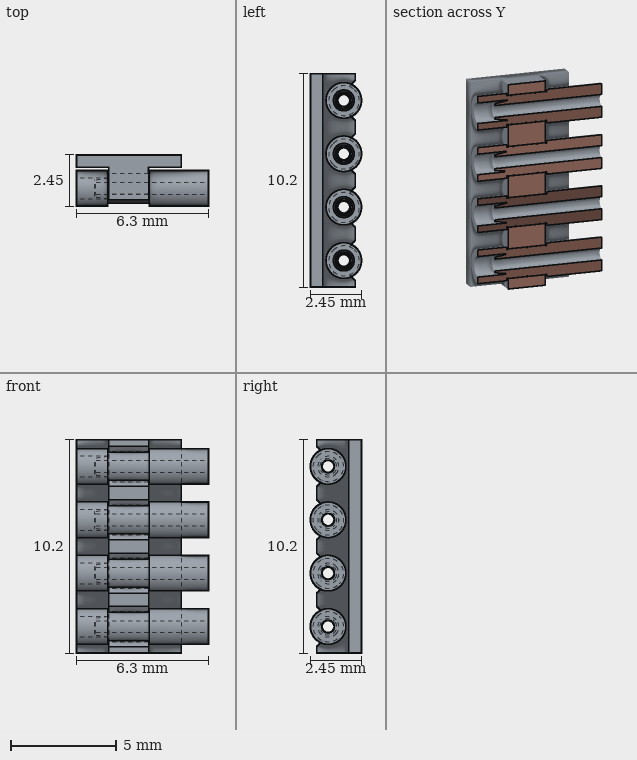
import cadquery as cq

carrier_height = 10.16
plate_width = 5.0
plate_thickness = 0.6
rail_start = 1.54
rail_width = 1.9
carrier_depth = 2.14

sleeve_count = 4
sleeve_pitch = carrier_height / sleeve_count
sleeve_length = 6.3
sleeve_diameter = 1.7
sleeve_radius = sleeve_diameter / 2
sleeve_depth = 1.6
neck_start = 1.49
neck_length = 1.99
neck_radius = 0.72

entry_radius = 0.5
nose_tip_radius = 0.4
funnel_end_radius = 0.31
through_radius = 0.28
entry_depth = neck_start
nose_length = 0.64
funnel_depth = 0.016
throat_depth = 0.046

mouth_half_width = 0.95

sleeve_y = -sleeve_depth
sleeve_heights = [(index + 0.5) * sleeve_pitch for index in range(sleeve_count)]


def snap_seat(height):
    """Round seat for one neck, with a mouth that flares towards the rail front."""
    front_y = -carrier_depth
    mouth_depth = carrier_depth - sleeve_depth
    throat_half_width = mouth_half_width - mouth_depth
    seat = (
        cq.Workplane("YZ", origin=(rail_start, sleeve_y, height))
        .circle(neck_radius)
        .extrude(rail_width)
    )
    mouth = (
        cq.Workplane("YZ", origin=(rail_start, 0, height))
        .moveTo(front_y, mouth_half_width)
        .lineTo(sleeve_y, throat_half_width)
        .lineTo(sleeve_y, -throat_half_width)
        .lineTo(front_y, -mouth_half_width)
        .close()
        .extrude(rail_width)
    )
    return seat.union(mouth)


def make_carrier():
    """Plate and rail with one snap seat for each sleeve."""
    plate = cq.Workplane("XY").box(plate_width, plate_thickness, carrier_height, centered=False)
    plate = plate.translate((0, -plate_thickness, 0))
    rail = cq.Workplane("XY").box(rail_width, carrier_depth, carrier_height, centered=False)
    rail = rail.translate((rail_start, -carrier_depth, 0))
    body = plate.union(rail)
    for height in sleeve_heights:
        body = body.cut(snap_seat(height))
    return body


def make_sleeve(height):
    """Tube with a narrow neck outside and a stepped bore inside, revolved about its axis."""
    neck_end = neck_start + neck_length
    nose_tip = entry_depth - nose_length
    funnel_end = nose_tip + funnel_depth
    throat_end = funnel_end + throat_depth
    return (
        cq.Workplane("XY", origin=(0, sleeve_y, height))
        .moveTo(0, entry_radius)
        .lineTo(0, sleeve_radius)
        .lineTo(neck_start, sleeve_radius)
        .lineTo(neck_start, neck_radius)
        .lineTo(neck_end, neck_radius)
        .lineTo(neck_end, sleeve_radius)
        .lineTo(sleeve_length, sleeve_radius)
        .lineTo(sleeve_length, through_radius)
        .lineTo(throat_end, through_radius)
        .lineTo(funnel_end, funnel_end_radius)
        .lineTo(nose_tip, nose_tip_radius)
        .lineTo(entry_depth, entry_radius)
        .close()
        .revolve(360, (0, 0, 0), (1, 0, 0))
    )


carrier = make_carrier()
sleeves = [make_sleeve(height).val() for height in sleeve_heights]

result = cq.Compound.makeCompound([carrier.val(), *sleeves])